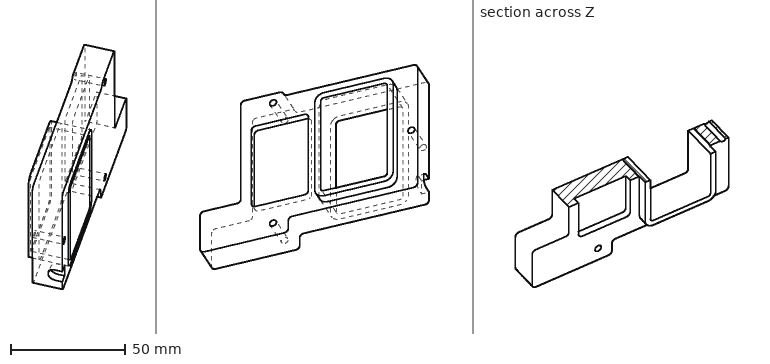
import cadquery as cq
import math

PLATE_LENGTH = 102.61
PLATE_HEIGHT = 77.39
TOTAL_DEPTH = 18.26
SLEEVE_PROJECTION = 4.66
PLATE_THICKNESS = TOTAL_DEPTH - SLEEVE_PROJECTION

BODY_LENGTH = 83.4
BODY_BOTTOM = 8.0
BODY_TOP = 74.95
FOOT_START = 60.9
FOOT_TOP = 22.2
OUTER_RADIUS = 2.0
INNER_RADIUS = 1.7
SHOULDER_Y = 61.4
SHOULDER_RADIUS = 2.0

SLEEVE_WIDTH = 36.9
SLEEVE_HEIGHT = 56.3
SLEEVE_WALL = 2.8
SLEEVE_RADIUS = 4.3
SLEEVE_CENTER = (28.15, 39.55)
WINDOW_RADIUS = SLEEVE_RADIUS - SLEEVE_WALL

RECESS_WIDTH = 26.9
RECESS_HEIGHT = 43.9
RECESS_RADIUS = 2.0
RECESS_DEPTH = 3.4
RECESS_CENTER = (64.9, 40.1)

HOLE_DIAMETER = 3.2
HOLE_CENTERS = [(68.15, 72.4), (68.15, 6.8), (2.95, 39.6)]

NOTCH_WIDTH = 7.1
NOTCH_LENGTH = 6.5
NOTCH_DEPTH = 3.6
NOTCH_Z = 18.05


def rounded_block(center, width, height, radius, start_x, end_x):
    """Block along X with a rounded rectangular section in the YZ plane."""
    return (
        cq.Workplane("YZ", origin=(start_x, 0, 0))
        .center(*center)
        .rect(width, height)
        .extrude(end_x - start_x)
        .edges("|X")
        .fillet(radius)
    )


def plate_blank():
    rise = PLATE_HEIGHT - BODY_TOP
    turn = math.acos(1 - rise / (2 * SHOULDER_RADIUS))
    half_run = SHOULDER_RADIUS * math.sin(turn)
    shoulder_middle = (SHOULDER_Y + half_run, BODY_TOP + rise / 2)
    shoulder_end = (SHOULDER_Y + 2 * half_run, PLATE_HEIGHT)

    blank = (
        cq.Workplane("YZ")
        .moveTo(0, BODY_BOTTOM)
        .lineTo(0, BODY_TOP)
        .lineTo(SHOULDER_Y, BODY_TOP)
        .tangentArcPoint(shoulder_middle, relative=False)
        .tangentArcPoint(shoulder_end, relative=False)
        .lineTo(BODY_LENGTH, PLATE_HEIGHT)
        .lineTo(BODY_LENGTH, FOOT_TOP)
        .lineTo(PLATE_LENGTH, FOOT_TOP)
        .lineTo(PLATE_LENGTH, 0)
        .lineTo(FOOT_START, 0)
        .lineTo(FOOT_START, BODY_BOTTOM)
        .close()
        .extrude(PLATE_THICKNESS)
    )

    outer_corners = [
        (0, BODY_BOTTOM),
        (0, BODY_TOP),
        (BODY_LENGTH, PLATE_HEIGHT),
        (PLATE_LENGTH, FOOT_TOP),
        (PLATE_LENGTH, 0),
        (FOOT_START, 0),
    ]
    inner_corners = [(BODY_LENGTH, FOOT_TOP), (FOOT_START, BODY_BOTTOM)]
    for corners, radius in ((outer_corners, OUTER_RADIUS), (inner_corners, INNER_RADIUS)):
        for y, z in corners:
            edge = cq.selectors.NearestToPointSelector((PLATE_THICKNESS / 2, y, z))
            blank = blank.edges("|X").edges(edge).fillet(radius)
    return blank


def edge_notch():
    end_radius = NOTCH_WIDTH / 2
    round_center_x = PLATE_THICKNESS - NOTCH_LENGTH + end_radius
    return (
        cq.Workplane("XZ")
        .moveTo(PLATE_THICKNESS, NOTCH_Z - end_radius)
        .lineTo(round_center_x, NOTCH_Z - end_radius)
        .threePointArc(
            (round_center_x - end_radius, NOTCH_Z),
            (round_center_x, NOTCH_Z + end_radius),
        )
        .lineTo(PLATE_THICKNESS, NOTCH_Z + end_radius)
        .close()
        .extrude(-NOTCH_DEPTH)
    )


def sleeve_envelope():
    return rounded_block(
        SLEEVE_CENTER, SLEEVE_WIDTH, SLEEVE_HEIGHT, SLEEVE_RADIUS, -SLEEVE_PROJECTION, PLATE_THICKNESS
    )


def make_plate():
    recess = rounded_block(RECESS_CENTER, RECESS_WIDTH, RECESS_HEIGHT, RECESS_RADIUS, 0, RECESS_DEPTH)
    holes = (
        cq.Workplane("YZ")
        .pushPoints(HOLE_CENTERS)
        .circle(HOLE_DIAMETER / 2)
        .extrude(PLATE_THICKNESS)
    )
    return plate_blank().cut(sleeve_envelope()).cut(recess).cut(holes).cut(edge_notch())


def make_sleeve():
    window = rounded_block(
        SLEEVE_CENTER,
        SLEEVE_WIDTH - 2 * SLEEVE_WALL,
        SLEEVE_HEIGHT - 2 * SLEEVE_WALL,
        WINDOW_RADIUS,
        -SLEEVE_PROJECTION,
        PLATE_THICKNESS,
    )
    return sleeve_envelope().cut(window)


plate = make_plate()
sleeve = make_sleeve()

result = cq.Compound.makeCompound([plate.val(), sleeve.val()])